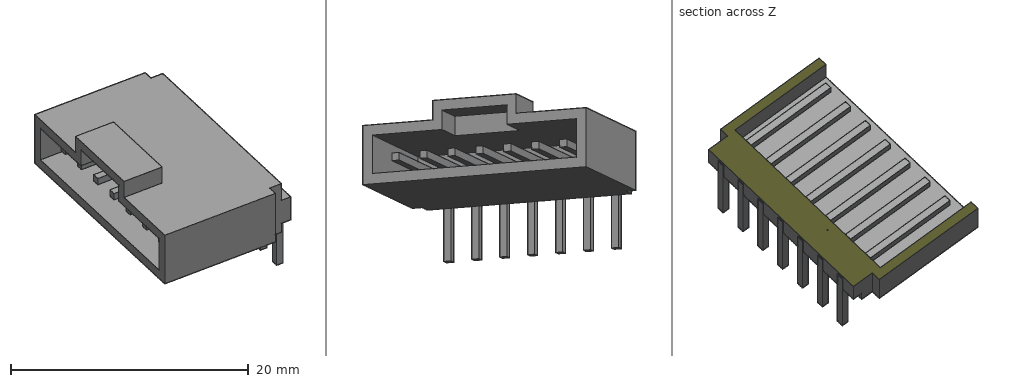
import cadquery as cq


body_width = 20.32
body_height = 5.08
body_depth = 12.21
shoulder_depth = 11.03
wall = 0.9
rear_width = body_width - 2 * wall

cavity_width = body_width - 2 * wall
cavity_height = body_height - 2 * wall
cavity_depth = shoulder_depth - wall

key_width = 7.58
key_height = 1.67
key_depth = 3.8
key_side_wall = 0.83
slot_width = key_width - 2 * key_side_wall
slot_depth = key_depth - wall

ledge_bottom = 0.91
ledge_top = 3.33
ledge_depth = 13.15

pin_count = 7
pin_pitch = body_width / (pin_count + 1)
pin_size = 0.65
pin_center_z = 2.45
pin_shift_x = -0.06
pin_tip_y = 1.25
leg_back_y = 13.23
leg_bottom_z = -4.43
leg_top_z = 2.58


def box(width, y_range, z_range, center_x=0.0):
    """Rectangular block centred on center_x, between two Y and two Z positions."""
    y_front, y_back = y_range
    z_bottom, z_top = z_range
    return (
        cq.Workplane("XY")
        .box(width, y_back - y_front, z_top - z_bottom, centered=(True, False, False))
        .translate((center_x, y_front, z_bottom))
    )


def make_housing():
    front = box(body_width, (0, shoulder_depth), (0, body_height))
    rear = box(rear_width, (0, body_depth), (0, body_height))
    ledge = box(rear_width, (shoulder_depth, ledge_depth), (ledge_bottom, ledge_top))
    key_top = body_height + key_height
    key = box(key_width, (0, key_depth), (0, key_top))
    cavity = box(cavity_width, (0, cavity_depth), (wall, wall + cavity_height))
    key_slot = box(slot_width, (0, slot_depth), (wall, key_top - wall))
    return front.union(rear).union(ledge).union(key).cut(cavity).cut(key_slot)


def make_contact(center_x):
    """Pin running back through the housing into a leg that goes straight down."""
    half_pin = pin_size / 2
    pin = box(
        pin_size,
        (pin_tip_y, leg_back_y - half_pin),
        (pin_center_z - half_pin, pin_center_z + half_pin),
        center_x + pin_shift_x,
    )
    leg = box(pin_size, (leg_back_y - pin_size, leg_back_y), (leg_bottom_z, leg_top_z), center_x)
    return pin.union(leg)


result = make_housing()
for index in range(pin_count):
    contact_x = (index - (pin_count - 1) / 2) * pin_pitch
    result = result.union(make_contact(contact_x))